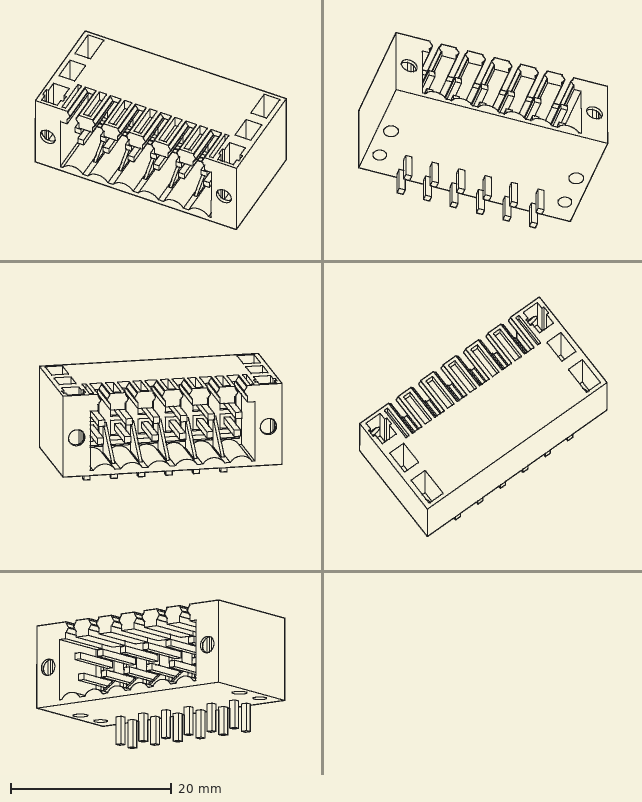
import cadquery as cq


LENGTH = 28.0
DEPTH = 14.2
HEIGHT = 10.5
FRONT_DRAFT = 0.05
SKIN = 0.5

POLES = 6
PITCH = 3.5
POLE_XS = [(i - (POLES - 1) / 2) * PITCH for i in range(POLES)]
DIVIDER_XS = [(i - POLES / 2) * PITCH for i in range(POLES + 1)]

CAVITY_WIDTH = POLES * PITCH
CAVITY_DEPTH = 7.85
CAVITY_FLOOR = 0.65
CAVITY_TOP = 8.35

KEYWAY_DEPTH = 5.0
KEYWAY_WIDTH = 1.62
KEYWAY_TOP_WIDTH = 1.48
KEYWAY_SHOULDER = 9.13
KEYWAY_LIP = 0.2
NECK_WIDTH = 0.8
NECK_TOP = 9.77
NECK_BOTTOM = 9.65

RELIEF_WIDTH = 1.0
RELIEF_DEPTH = 1.4

RIDGE_WIDTH = 2.77
RIDGE_HEIGHT = 0.75
RIB_WIDTH = 0.4
RIB_START = 2.63
RIB_TOP = 4.55

PIN_SIZE = 0.8
PIN_SPACING = 2.52
TAIL_LENGTH = 3.5
LOWER_PIN_Z = 3.75
LOWER_PIN_TIP = 2.25
UPPER_PIN_TIP = 1.48
REAR_TAIL_Y = DEPTH - 1.05

PIN_RECESS_SIZE = 2.0
LATCH_RECESS_WIDTH = 2.97
LATCH_RECESS_HEIGHT = 0.73
LATCH_RECESS_Z = 1.82
RECESS_DEPTH = 0.55

FLANGE_X = CAVITY_WIDTH / 2 + PITCH / 2
POCKET_WIDTH = 2.18
POCKET_FLOOR = 1.95
REAR_POCKET_LENGTH = 3.78
REAR_LEDGE_LENGTH = 1.5
REAR_LEDGE_Z = 4.2
MIDDLE_POCKET_LENGTH = 3.15
MIDDLE_POCKET_Y = 7.0
NUT_POCKET_LENGTH = 3.4
NUT_WIDTH = 2.8
NUT_THICKNESS = 0.98
NUT_Y = 1.95
SCREW_HOLE_DIAMETER = 2.07
SCREW_HOLE_Z = 5.0
REAR_PEG_DIAMETER = 1.7
REAR_PEG_Y = DEPTH - 2.95
MIDDLE_PEG_DIAMETER = 1.85
MIDDLE_PEG_Y = DEPTH - 7.25


def block(x, y, z):
    """Box spanning the given (low, high) range along each axis."""
    solid = cq.Workplane("XY").box(x[1] - x[0], y[1] - y[0], z[1] - z[0], centered=False)
    return solid.translate((x[0], y[0], z[0]))


def around(centre, size):
    """Range of the given size about a centre."""
    return (centre - size / 2, centre + size / 2)


def along_y(sketch, start, end):
    """Extrude a closed XZ outline between two Y positions."""
    return sketch.extrude(start - end).translate((0, start, 0))


def housing():
    side = [(0, 0), (DEPTH, 0), (DEPTH, HEIGHT), (FRONT_DRAFT, HEIGHT)]
    return cq.Workplane("YZ").polyline(side).close().extrude(LENGTH / 2, both=True)


def floor_ridge(x):
    arc = (
        cq.Workplane("XZ")
        .moveTo(x - RIDGE_WIDTH / 2, CAVITY_FLOOR)
        .threePointArc((x, CAVITY_FLOOR + RIDGE_HEIGHT), (x + RIDGE_WIDTH / 2, CAVITY_FLOOR))
        .close()
    )
    return along_y(arc, 0, CAVITY_DEPTH)


def cavity():
    """Volume removed for the plug, leaving the ridges standing on the floor."""
    space = block(around(0, CAVITY_WIDTH), (0, CAVITY_DEPTH), (CAVITY_FLOOR, CAVITY_TOP))
    for x in POLE_XS:
        space = space.cut(floor_ridge(x))
    return space


def mirrored_outline(x, right_side):
    """Closed XZ outline, symmetric about the given X, from its right-hand points."""
    left_side = [(-u, z) for u, z in reversed(right_side)]
    return cq.Workplane("XZ").polyline([(x + u, z) for u, z in right_side + left_side]).close()


def keyway(x):
    """Channel that narrows from the top face to a neck, then widens into the cavity."""
    half_neck = NECK_WIDTH / 2
    half_top = KEYWAY_TOP_WIDTH / 2
    upper = mirrored_outline(
        x,
        [
            (half_top, HEIGHT),
            (half_top, HEIGHT - KEYWAY_LIP),
            (half_neck, NECK_TOP),
            (half_neck, NECK_BOTTOM),
        ],
    )
    lower = mirrored_outline(
        x,
        [
            (half_neck, NECK_BOTTOM),
            (half_top, KEYWAY_SHOULDER),
            (KEYWAY_WIDTH / 2, KEYWAY_SHOULDER),
            (KEYWAY_WIDTH / 2, CAVITY_TOP),
        ],
    )
    return along_y(upper, 0, KEYWAY_DEPTH).union(along_y(lower, 0, CAVITY_DEPTH))


def relief_slot(x):
    """Blind slot in the top face, kept within the width of the cavity."""
    left = max(x - RELIEF_WIDTH / 2, -CAVITY_WIDTH / 2)
    right = min(x + RELIEF_WIDTH / 2, CAVITY_WIDTH / 2)
    return block((left, right), (SKIN, KEYWAY_DEPTH), (HEIGHT - RELIEF_DEPTH, HEIGHT))


def guide_rib(x):
    side = [(RIB_START, CAVITY_FLOOR), (CAVITY_DEPTH, CAVITY_FLOOR), (CAVITY_DEPTH, RIB_TOP)]
    return cq.Workplane("YZ").polyline(side).close().extrude(RIB_WIDTH / 2, both=True).translate((x, 0, 0))


def pin(x, z, tip, tail_y):
    width = around(x, PIN_SIZE)
    contact = block(width, (tip, tail_y + PIN_SIZE / 2), around(z, PIN_SIZE))
    tail = block(width, around(tail_y, PIN_SIZE), (-TAIL_LENGTH, z))
    return contact.union(tail)


def back_wall_recesses(x):
    reach = (CAVITY_DEPTH, CAVITY_DEPTH + RECESS_DEPTH)
    cut = block(around(x, LATCH_RECESS_WIDTH), reach, around(LATCH_RECESS_Z, LATCH_RECESS_HEIGHT))
    for z in (LOWER_PIN_Z, LOWER_PIN_Z + PIN_SPACING):
        cut = cut.union(block(around(x, PIN_RECESS_SIZE), reach, around(z, PIN_RECESS_SIZE)))
    return cut


def peg_hole(x, y, diameter):
    return cq.Workplane("XY").center(x, y).circle(diameter / 2).extrude(POCKET_FLOOR)


def flange_cuts(x):
    """Two peg pockets, a nut pocket and a screw hole in one flange."""
    width = around(x, POCKET_WIDTH)
    deep = (POCKET_FLOOR, HEIGHT)
    rear_pocket_end = DEPTH - SKIN
    ledge_edge = rear_pocket_end - REAR_LEDGE_LENGTH

    cut = block(width, (rear_pocket_end - REAR_POCKET_LENGTH, ledge_edge), deep)
    cut = cut.union(block(width, (ledge_edge, rear_pocket_end), (REAR_LEDGE_Z, HEIGHT)))
    cut = cut.union(peg_hole(x, REAR_PEG_Y, REAR_PEG_DIAMETER))

    cut = cut.union(block(width, around(MIDDLE_POCKET_Y, MIDDLE_POCKET_LENGTH), deep))
    cut = cut.union(peg_hole(x, MIDDLE_PEG_Y, MIDDLE_PEG_DIAMETER))

    cut = cut.union(block(width, (SKIN, SKIN + NUT_POCKET_LENGTH), deep))
    cut = cut.union(block(around(x, NUT_WIDTH), around(NUT_Y, NUT_THICKNESS), deep))
    screw_hole = cq.Workplane("XZ").center(x, SCREW_HOLE_Z).circle(SCREW_HOLE_DIAMETER / 2)
    return cut.union(along_y(screw_hole, 0, NUT_Y))


result = housing().cut(cavity())
for flange_x in (-FLANGE_X, FLANGE_X):
    result = result.cut(flange_cuts(flange_x))
for divider_x in DIVIDER_XS:
    result = result.cut(relief_slot(divider_x))
for pole_x in POLE_XS:
    result = result.cut(keyway(pole_x)).cut(back_wall_recesses(pole_x))
for divider_x in DIVIDER_XS[1:-1]:
    result = result.union(guide_rib(divider_x))
for pole_x in POLE_XS:
    result = result.union(pin(pole_x, LOWER_PIN_Z, LOWER_PIN_TIP, REAR_TAIL_Y - PIN_SPACING))
    result = result.union(pin(pole_x, LOWER_PIN_Z + PIN_SPACING, UPPER_PIN_TIP, REAR_TAIL_Y))